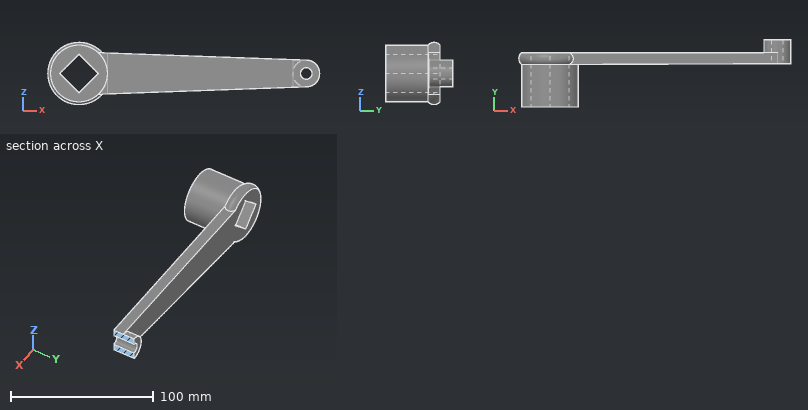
import cadquery as cq


barrel_radius = 40 / 2
barrel_length = 30
flange_thickness = 8.5
flange_rim_radius = 5.5
socket_side = 19

arm_length = 160
tip_radius = 19 / 2
tip_projection = 9
tip_hole_diameter = 8

arm_root_half_height = 14.5
arm_tip_thickness = 8

flange_front = barrel_length
flange_back = flange_front + flange_thickness
tip_front = flange_back - arm_tip_thickness
tip_back = flange_back + tip_projection

taper_start = barrel_radius
taper_end = arm_length - tip_radius

arm_side_slope = (arm_root_half_height - tip_radius) / (arm_length - taper_start)
root_half_height_on_axis = arm_root_half_height + arm_side_slope * taper_start


def cylinder_along_y(x, radius, y_start, y_end):
    """Solid cylinder parallel to Y, centred at the given x and z = 0."""
    face = cq.Workplane("XZ", origin=(x, y_start, 0)).circle(radius)
    return face.extrude(y_start - y_end)


def make_hub():
    """Barrel and flange turned as one profile; the flange rim bulges as an arc."""
    profile = (
        cq.Workplane("XY")
        .lineTo(barrel_radius, 0)
        .lineTo(barrel_radius, flange_front)
        .radiusArc((barrel_radius, flange_back), -flange_rim_radius)
        .lineTo(0, flange_back)
        .close()
    )
    return profile.revolve(360, (0, 0, 0), (0, 1, 0))


def make_arm():
    """Common volume of the height taper (in XZ) and the thickness taper (in XY)."""
    height_outline = (
        cq.Workplane("XZ", origin=(0, flange_front, 0))
        .moveTo(0, -root_half_height_on_axis)
        .lineTo(arm_length, -tip_radius)
        .lineTo(arm_length, tip_radius)
        .lineTo(0, root_half_height_on_axis)
        .close()
        .extrude(-flange_thickness)
    )
    thickness_outline = (
        cq.Workplane("XY")
        .moveTo(0, flange_front)
        .lineTo(taper_start, flange_front)
        .lineTo(taper_end, tip_front)
        .lineTo(arm_length, tip_front)
        .lineTo(arm_length, flange_back)
        .lineTo(0, flange_back)
        .close()
        .extrude(root_half_height_on_axis, both=True)
    )
    return height_outline.intersect(thickness_outline)


def make_socket():
    """Square through-hole of the hub, standing on one corner."""
    square = cq.Workplane("XZ").transformed(rotate=(0, 0, 45)).rect(socket_side, socket_side)
    return square.extrude(-flange_back)


tip_eye = cylinder_along_y(arm_length, tip_radius, tip_front, tip_back)
tip_hole = cylinder_along_y(arm_length, tip_hole_diameter / 2, tip_front, tip_back)

result = make_hub().union(make_arm()).union(tip_eye).cut(make_socket()).cut(tip_hole)